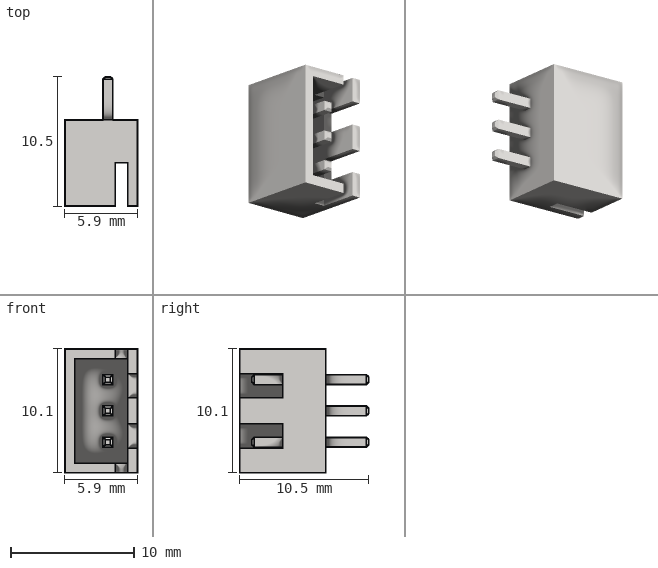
import cadquery as cq

width = 5.9
height = 10.08
total_length = 10.5
body_length = 7.0
wall = 0.8

slot_width = 1.0
slot_depth = 3.51
end_finger_height = 2.02
middle_finger_height = 2.1

pin_count = 3
pin_pitch = 2.54
pin_size = 0.8
pin_taper = 0.2
pin_recess = 1.0
pin_x = 0.55

front = -total_length / 2
back = front + body_length
side_wall_x = width / 2 - wall


def box(x_range, y_range, z_range):
    """Axis-aligned box spanning the given (low, high) ranges."""
    lows, highs = zip(x_range, y_range, z_range)
    size = [high - low for low, high in zip(lows, highs)]
    return cq.Workplane("XY").box(*size, centered=False).translate(lows)


def make_housing():
    shell = box((-width / 2, width / 2), (front, back), (-height / 2, height / 2))
    cavity = box(
        (-width / 2 + wall, side_wall_x),
        (front, back - wall),
        (-height / 2 + wall, height / 2 - wall),
    )
    return shell.cut(cavity)


def cut_end_slots(housing):
    """Slots through both end walls, just inside the +X wall."""
    slot = box(
        (side_wall_x - slot_width, side_wall_x),
        (front, front + slot_depth),
        (-height / 2, height / 2),
    )
    return housing.cut(slot)


def cut_finger_gaps(housing):
    """Two gaps that split the +X wall into three fingers."""
    gap_inner = middle_finger_height / 2
    gap_outer = height / 2 - end_finger_height
    for z_range in ((-gap_outer, -gap_inner), (gap_inner, gap_outer)):
        gap = box((side_wall_x, width / 2), (front, front + slot_depth), z_range)
        housing = housing.cut(gap)
    return housing


def make_pin(z):
    pin = box(
        (pin_x - pin_size / 2, pin_x + pin_size / 2),
        (front + pin_recess, total_length / 2),
        (z - pin_size / 2, z + pin_size / 2),
    )
    return pin.faces("<Y or >Y").chamfer(pin_taper)


result = cut_finger_gaps(cut_end_slots(make_housing()))
for index in range(pin_count):
    result = result.union(make_pin((index - (pin_count - 1) / 2) * pin_pitch))